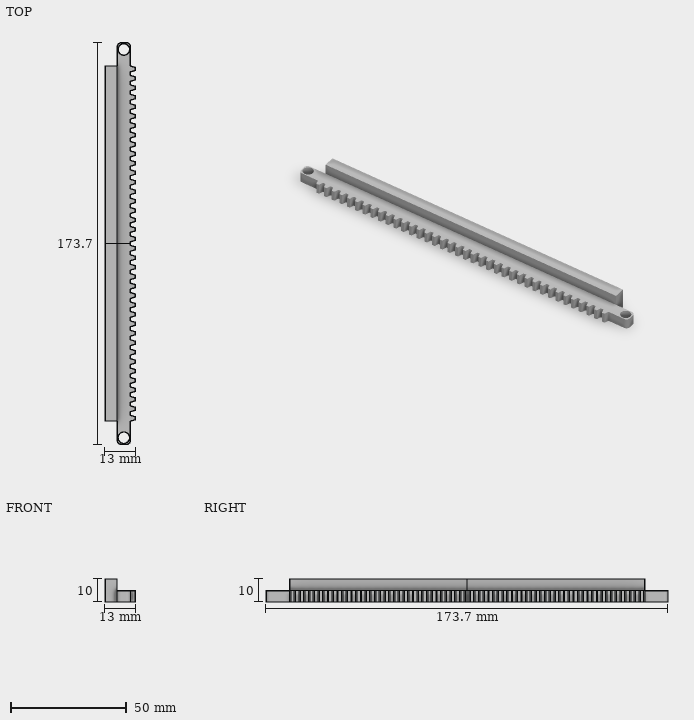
import cadquery as cq

total_length = 173.7
total_width = 13.0
wall_height = 10.0

wall_thickness = 5.2
wall_length = 153.5

bar_height = 5.0
bar_width = 5.7
end_corner_radius = 1.7

hole_diameter = 4.9
hole_end_distance = 3.0

teeth_per_half = 19
tooth_tip_width = 1.4
tooth_root_width = 2.6

half_length = total_length / 2
half_wall_length = wall_length / 2
first_tooth_pitches = 0.5
tooth_pitch = (half_wall_length - tooth_root_width / 2) / (teeth_per_half - 1 + first_tooth_pitches)
bar_left = wall_thickness
bar_right = bar_left + bar_width
bar_middle = bar_left + bar_width / 2
hole_y = half_length - hole_end_distance


def make_wall():
    """Tall wall from the joint at Y = 0 toward +Y."""
    return cq.Workplane("XY").box(wall_thickness, half_wall_length, wall_height, centered=False)


def make_bar():
    """Low bar with rounded outer corners and a through hole near its end."""
    return (
        cq.Workplane("XY")
        .box(bar_width, half_length, bar_height, centered=False)
        .edges("|Z and >Y")
        .fillet(end_corner_radius)
        .translate((bar_left, 0, 0))
        .cut(cq.Workplane("XY").center(bar_middle, hole_y).circle(hole_diameter / 2).extrude(bar_height))
    )


def make_tooth(center_y):
    """One trapezoidal tooth standing on the bar's +X side."""
    return (
        cq.Workplane("XY")
        .polyline(
            [
                (bar_right, center_y - tooth_root_width / 2),
                (total_width, center_y - tooth_tip_width / 2),
                (total_width, center_y + tooth_tip_width / 2),
                (bar_right, center_y + tooth_root_width / 2),
            ]
        )
        .close()
        .extrude(bar_height)
    )


def make_rack_half():
    """The +Y half of the rack: wall, bar and teeth in one solid."""
    teeth = [make_tooth((index + first_tooth_pitches) * tooth_pitch).val() for index in range(teeth_per_half)]
    return make_wall().union(make_bar()).union(cq.Compound.makeCompound(teeth))


rack_half = make_rack_half()
mirrored_rack_half = rack_half.mirror("XZ")

result = cq.Compound.makeCompound([rack_half.val(), mirrored_rack_half.val()])